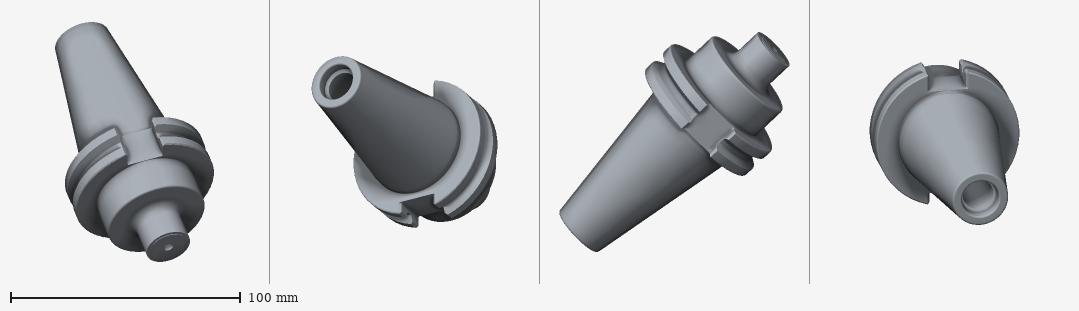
import cadquery as cq
import math

gauge_diameter = 44.45
taper_length = 68.25
taper_ratio = 7 / 24
tail_fillet = 1.0

flange_diameter = 63.5
flange_start = 3.18
flange_end = 19.05
flange_edge_fillet = 0.6
flange_root_fillet = 0.35

groove_center = 11.1
groove_root_diameter = 56.25
groove_half_opening = 3.5
groove_flank_angle = 30.0
groove_fillet = 0.8

collar_end = 35.0
collar_fillet = 1.0

nose_diameter = 20.0
nose_end = 50.75
nose_root_fillet = 4.0

pad_diameter = 17.1
pad_width = 14.0
pad_height = 0.25

slot_width = 16.1
slot_edge_chamfer = 1.0
slot_corner_fillet = 0.6
slot_clearance = 1.0
upper_slot_floor = 22.6
lower_slot_floor = 25.0

bore_diameter = 16.43
bore_mouth_fillet = 0.9
bore_depth = 5.0
thread_mouth_angle = 120.0
thread_diameter = 13.5
thread_depth = 32.0
drill_tip_angle = 118.0
through_diameter = 4.2

screw_hole_diameter = 5.0
screw_to_nose_end = 4.75

gauge_radius = gauge_diameter / 2
flange_radius = flange_diameter / 2
nose_radius = nose_diameter / 2
face_x = nose_end + pad_height
tail_x = -taper_length
tail_radius = gauge_radius - taper_length * taper_ratio / 2


def round_ring(body, x, radius, fillet):
    """Fillet the circular edge of the given radius lying at X = x."""
    slack = 0.01
    ring = [
        edge
        for edge in body.edges("%CIRCLE").vals()
        if abs(edge.radius() - radius) < slack and abs(edge.Center().x - x) < slack
    ]
    return body.newObject(ring).fillet(fillet)


def turned_blank():
    """Taper, grooved flange, collar and nose as one turned shape."""
    groove_root = groove_root_diameter / 2
    flank_run = (flange_radius - groove_root) * math.tan(math.radians(groove_flank_angle))
    root_half = groove_half_opening - flank_run
    profile = (
        cq.Workplane("XY")
        .moveTo(tail_x, 0)
        .lineTo(tail_x, tail_radius)
        .lineTo(0, gauge_radius)
        .lineTo(flange_start, gauge_radius)
        .lineTo(flange_start, flange_radius)
        .lineTo(groove_center - groove_half_opening, flange_radius)
        .lineTo(groove_center - root_half, groove_root)
        .lineTo(groove_center + root_half, groove_root)
        .lineTo(groove_center + groove_half_opening, flange_radius)
        .lineTo(flange_end, flange_radius)
        .lineTo(flange_end, gauge_radius)
        .lineTo(collar_end, gauge_radius)
        .lineTo(collar_end, nose_radius)
        .lineTo(nose_end, nose_radius)
        .lineTo(nose_end, 0)
        .close()
    )
    blank = profile.revolve(360, (0, 0, 0), (1, 0, 0))
    for x, radius, fillet in (
        (tail_x, tail_radius, tail_fillet),
        (flange_start, gauge_radius, flange_root_fillet),
        (flange_start, flange_radius, flange_edge_fillet),
        (flange_end, flange_radius, flange_edge_fillet),
        (flange_end, gauge_radius, flange_root_fillet),
        (groove_center - root_half, groove_root, groove_fillet),
        (groove_center + root_half, groove_root, groove_fillet),
        (collar_end, gauge_radius, collar_fillet),
        (collar_end, nose_radius, nose_root_fillet),
    ):
        blank = round_ring(blank, x, radius, fillet)
    return blank


def nose_pad():
    """Low round pad with two flats on the end of the nose."""
    disc = cq.Workplane("YZ", origin=(nose_end, 0, 0)).circle(pad_diameter / 2).extrude(pad_height)
    flats = cq.Workplane("YZ", origin=(nose_end, 0, 0)).rect(pad_width, pad_diameter).extrude(pad_height)
    return disc.intersect(flats)


def drawbar_bore():
    """Cutter for the stepped bore from the tail and the small hole right through."""
    bore_radius = bore_diameter / 2
    mouth = bore_mouth_fillet
    sink_length = (bore_diameter - thread_diameter) / 2 / math.tan(math.radians(thread_mouth_angle / 2))
    tip = (thread_diameter - through_diameter) / 2 / math.tan(math.radians(drill_tip_angle / 2))
    return (
        cq.Workplane("XY")
        .moveTo(tail_x, 0)
        .lineTo(tail_x, bore_radius + mouth)
        .radiusArc((tail_x + mouth, bore_radius), -mouth)
        .lineTo(tail_x + bore_depth, bore_radius)
        .lineTo(tail_x + bore_depth + sink_length, thread_diameter / 2)
        .lineTo(tail_x + thread_depth, thread_diameter / 2)
        .lineTo(tail_x + thread_depth + tip, through_diameter / 2)
        .lineTo(face_x, through_diameter / 2)
        .lineTo(face_x, 0)
        .close()
        .revolve(360, (0, 0, 0), (1, 0, 0))
    )


def drive_slot(floor, side):
    """Cutter for one slot across the flange; side is +1 for +Z, -1 for -Z."""
    length = flange_end - flange_start
    height = flange_radius - floor + slot_clearance
    cutter = (
        cq.Workplane("XY")
        .box(length, slot_width, height, centered=(False, True, False))
        .edges("|X and <Z").fillet(slot_corner_fillet)
        .translate((flange_start, 0, floor))
    )
    half = slot_width / 2
    wide = half + slot_edge_chamfer
    inner = flange_start + slot_edge_chamfer
    entry = (
        cq.Workplane("XY", origin=(0, 0, floor))
        .polyline([(flange_start, -wide), (flange_start, wide), (inner, half), (inner, -half)])
        .close()
        .extrude(height)
        .edges("<Z and (not |Y)").fillet(slot_corner_fillet)
    )
    land_height = math.sqrt(flange_radius**2 - wide**2)
    lip_bottom = land_height - slot_edge_chamfer
    lip_top = land_height + slot_clearance
    lip_half = wide + slot_clearance
    lip = (
        cq.Workplane("YZ", origin=(flange_start, 0, 0))
        .polyline([(-half, lip_bottom), (-lip_half, lip_top), (lip_half, lip_top), (half, lip_bottom)])
        .close()
        .extrude(length)
    )
    cutter = cutter.union(entry).union(lip)
    if side < 0:
        cutter = cutter.mirror("XY")
    return cutter


def screw_hole():
    """Cutter for the radial hole from the axis out through the +Y side of the nose."""
    return (
        cq.Workplane("XZ")
        .center(nose_end - screw_to_nose_end, 0)
        .circle(screw_hole_diameter / 2)
        .extrude(-nose_diameter)
    )


def make_holder():
    body = turned_blank().union(nose_pad()).cut(drawbar_bore())
    for floor, side in ((upper_slot_floor, 1), (lower_slot_floor, -1)):
        body = body.cut(drive_slot(floor, side))
    return body.cut(screw_hole())


holder = make_holder()
result = cq.Compound.makeCompound([holder.val()])